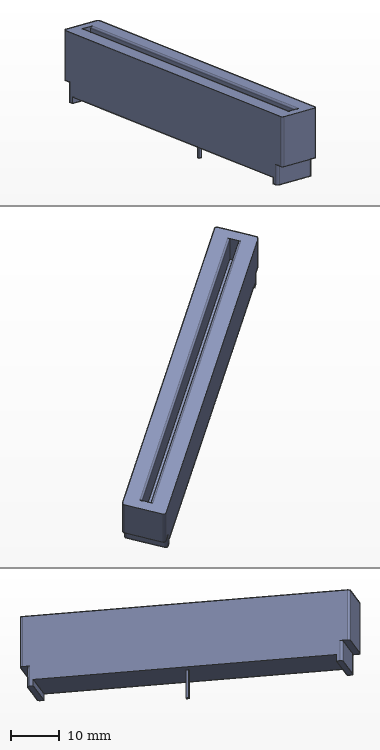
import cadquery as cq
import math

length = 70.1
width = 9.3
upper_height = 10.95
underside_depth = 13.95
foot_depth = 15.35
end_step = 1.55
foot_length = 1.3
corner_radius = 0.55

slot_length = 66.1
slot_mouth_width = 2.7
slot_depth = 8.0
lead_in_radius = 0.4

total_height = 20.05
pin_side = 0.6
pin_x = -0.1
pin_y = 2.5

lower_length = length - 2 * end_step


def rounded_block(block_length, height):
    """Block hanging from the top plane, with rounded vertical edges."""
    block = cq.Workplane("XY").box(block_length, width, height, centered=(True, True, False))
    return block.translate((0, 0, -height)).edges("|Z").fillet(corner_radius)


def foot_gap():
    """Space between the two feet, across the full width."""
    gap_length = lower_length - 2 * foot_length
    gap = cq.Workplane("XY").box(
        gap_length, width, foot_depth - underside_depth, centered=(True, True, False)
    )
    return gap.translate((0, 0, -foot_depth))


def card_slot():
    """Slot cross-section extruded along X: straight walls below a mouth flared by convex arcs."""
    half_mouth = slot_mouth_width / 2
    half_slot = half_mouth - lead_in_radius
    arc_offset = lead_in_radius * math.sqrt(0.5)
    arc_mid_y = half_mouth - arc_offset
    arc_mid_z = arc_offset - lead_in_radius
    profile = (
        cq.Workplane("YZ")
        .moveTo(-half_mouth, 0)
        .lineTo(half_mouth, 0)
        .threePointArc((arc_mid_y, arc_mid_z), (half_slot, -lead_in_radius))
        .lineTo(half_slot, -slot_depth)
        .lineTo(-half_slot, -slot_depth)
        .lineTo(-half_slot, -lead_in_radius)
        .threePointArc((-arc_mid_y, arc_mid_z), (-half_mouth, 0))
        .close()
    )
    return profile.extrude(slot_length / 2, both=True)


def make_housing():
    body = rounded_block(length, upper_height).union(rounded_block(lower_length, foot_depth))
    return body.cut(foot_gap()).cut(card_slot())


def make_pin():
    """Square pin hanging from the underside of the housing."""
    pin_length = total_height - underside_depth
    pin = cq.Workplane("XY").box(pin_side, pin_side, pin_length, centered=(True, True, False))
    return pin.translate((pin_x, pin_y, -total_height))


housing = make_housing()
pin = make_pin()

result = cq.Compound.makeCompound([housing.val(), pin.val()])